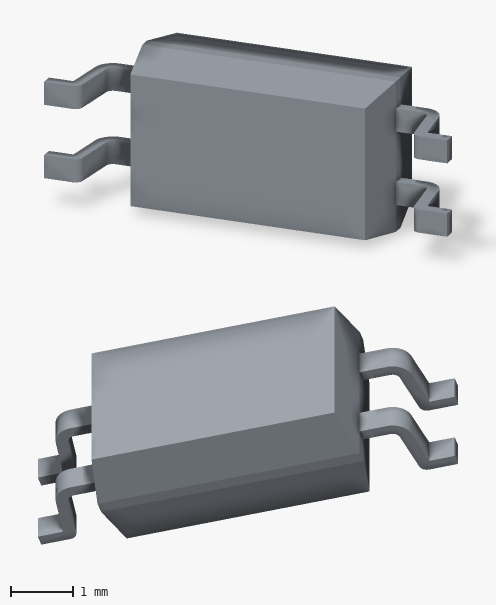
import cadquery as cq
import math

SPAN = 7.0
TOP_Y = 2.1

HOUSING_LENGTH = 4.4
HOUSING_WIDTH = 2.6
STANDOFF = 0.09
FACE_INSET = 0.16

LEAD_THICKNESS = 0.2
LEAD_WIDTH = 0.4
LEAD_PITCH = 1.27
LEAD_TOP_Y = 1.21
FOOT_LENGTH = 0.43
LEG_LEAN = 7.0
SHOULDER_INNER_RADIUS = 0.125
SHOULDER_OUTER_RADIUS = SHOULDER_INNER_RADIUS + LEAD_THICKNESS
HEEL_OUTER_RADIUS = 0.13
HEEL_INNER_RADIUS = 0.02

SHOULDER_BOTTOM_Y = LEAD_TOP_Y - LEAD_THICKNESS


def tapered_half(band_y, end_y):
    """Half of the housing, narrowing from the middle band to an end face."""
    height = abs(end_y - band_y)
    taper = math.degrees(math.atan(FACE_INSET / height))
    direction = math.copysign(1, end_y - band_y)
    plane = cq.Plane(origin=(0, band_y, 0), xDir=(1, 0, 0), normal=(0, direction, 0))
    return cq.Workplane(plane).rect(HOUSING_LENGTH, HOUSING_WIDTH).extrude(height, taper=taper)


def make_housing():
    """Straight middle band level with the lead shoulders, with a tapered half on each side."""
    band = cq.Workplane("XY").box(HOUSING_LENGTH, LEAD_THICKNESS, HOUSING_WIDTH)
    band = band.translate((0, LEAD_TOP_Y - LEAD_THICKNESS / 2, 0))
    far_half = tapered_half(LEAD_TOP_Y, TOP_Y)
    near_half = tapered_half(SHOULDER_BOTTOM_Y, STANDOFF)
    return band.union(far_half).union(near_half)


def make_lead():
    """Gull-wing lead on the -X side, centred on Z = 0 and ending flush at the housing wall."""
    tip_x = -SPAN / 2
    wall_x = -HOUSING_LENGTH / 2
    lean = math.radians(LEG_LEAN)
    leg_width_x = LEAD_THICKNESS / math.cos(lean)

    def leg_outer_x(y):
        return tip_x + FOOT_LENGTH + (y - LEAD_THICKNESS) * math.tan(lean)

    def leg_inner_x(y):
        return leg_outer_x(y) + leg_width_x

    heel_inner = (leg_outer_x(LEAD_THICKNESS), LEAD_THICKNESS)
    heel_outer = (leg_inner_x(0), 0)
    shoulder_outer = (leg_outer_x(LEAD_TOP_Y), LEAD_TOP_Y)
    shoulder_inner = (leg_inner_x(SHOULDER_BOTTOM_Y), SHOULDER_BOTTOM_Y)
    outline = [
        (tip_x, 0),
        heel_outer,
        shoulder_inner,
        (wall_x, SHOULDER_BOTTOM_Y),
        (wall_x, LEAD_TOP_Y),
        shoulder_outer,
        heel_inner,
        (tip_x, LEAD_THICKNESS),
    ]
    lead = cq.Workplane("XY").polyline(outline).close().extrude(LEAD_WIDTH / 2, both=True)
    bends = [
        (shoulder_outer, SHOULDER_OUTER_RADIUS),
        (shoulder_inner, SHOULDER_INNER_RADIUS),
        (heel_outer, HEEL_OUTER_RADIUS),
        (heel_inner, HEEL_INNER_RADIUS),
    ]
    for (x, y), radius in bends:
        corner = cq.selectors.NearestToPointSelector((x, y, 0))
        lead = lead.edges("|Z").edges(corner).fillet(radius)
    return lead


housing = make_housing()

left_lead = make_lead()
right_lead = left_lead.mirror("YZ")
leads = []
for z in (-LEAD_PITCH / 2, LEAD_PITCH / 2):
    for lead in (left_lead, right_lead):
        leads.append(lead.translate((0, 0, z)).val())

result = cq.Compound.makeCompound([housing.val(), *leads])